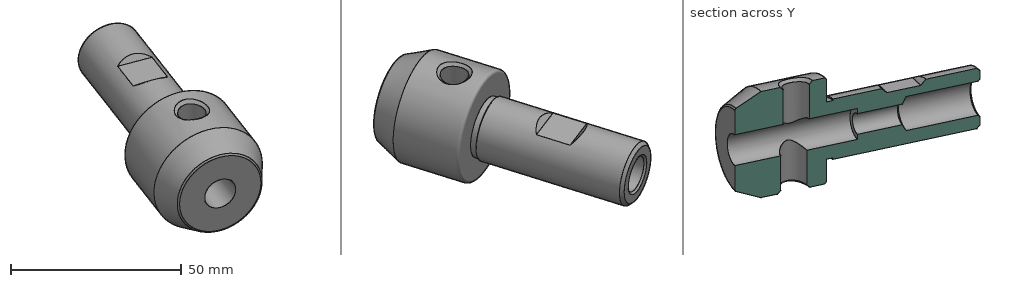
import cadquery as cq
import math

length = 80.0
shank_diameter = 20.0
shank_length = 48.0
neck_diameter = 19.0
head_start = 50.0
head_diameter = 35.0
nose_taper_start = 71.4
nose_taper_angle = 25.0
shank_chamfer = 1.0
head_edge_radius = 1.0
nose_edge_chamfer = 0.4

flat_center = 24.9
flat_length = 11.0
flat_depth = 1.7

shank_bore_diameter = 11.0
shank_bore_depth = 24.0
shank_bore_chamfer = 0.6
drill_point_angle = 118.0
through_diameter = 6.6
tool_bore_diameter = 10.0
tool_bore_depth = 40.0

screw_diameter = 8.4
screw_chamfer = 1.0
top_screw_x = 59.9
bottom_screw_x = 60.7


def turned_body():
    shank_radius = shank_diameter / 2
    neck_radius = neck_diameter / 2
    head_radius = head_diameter / 2
    taper_slope = math.tan(math.radians(nose_taper_angle))
    nose_radius = head_radius - (length - nose_taper_start) * taper_slope
    profile = (
        cq.Workplane("XZ")
        .lineTo(0, shank_radius - shank_chamfer)
        .lineTo(shank_chamfer, shank_radius)
        .lineTo(shank_length, shank_radius)
        .lineTo(shank_length, neck_radius)
        .lineTo(head_start, neck_radius)
        .lineTo(head_start, head_radius - head_edge_radius)
        .radiusArc((head_start + head_edge_radius, head_radius), head_edge_radius)
        .lineTo(nose_taper_start, head_radius)
        .lineTo(length - nose_edge_chamfer, nose_radius + nose_edge_chamfer * taper_slope)
        .lineTo(length, nose_radius - nose_edge_chamfer)
        .lineTo(length, 0)
        .close()
    )
    return profile.revolve(360, (0, 0, 0), (1, 0, 0))


def clamping_flat():
    top = shank_diameter / 2
    half = flat_length / 2
    return (
        cq.Workplane("XZ")
        .moveTo(flat_center - half, top - flat_depth)
        .lineTo(flat_center + half, top - flat_depth)
        .lineTo(flat_center + half + flat_depth, top)
        .lineTo(flat_center - half - flat_depth, top)
        .close()
        .extrude(top, both=True)
    )


def screw_hole(x, direction):
    return (
        cq.Workplane("XY")
        .center(x, 0)
        .circle(screw_diameter / 2)
        .extrude(direction * head_diameter)
    )


def axial_bores():
    bore_radius = shank_bore_diameter / 2
    through_radius = through_diameter / 2
    tool_radius = tool_bore_diameter / 2
    point_length = (bore_radius - through_radius) / math.tan(math.radians(drill_point_angle / 2))
    tool_bore_end = length - tool_bore_depth
    return (
        cq.Workplane("XZ")
        .lineTo(0, bore_radius + shank_bore_chamfer)
        .lineTo(shank_bore_chamfer, bore_radius)
        .lineTo(shank_bore_depth, bore_radius)
        .lineTo(shank_bore_depth + point_length, through_radius)
        .lineTo(tool_bore_end, through_radius)
        .lineTo(tool_bore_end, tool_radius)
        .lineTo(length, tool_radius)
        .lineTo(length, 0)
        .close()
        .revolve(360, (0, 0, 0), (1, 0, 0))
    )


result = turned_body().cut(clamping_flat())

selection_margin = 0.1
mouth_half_width = screw_diameter / 2 + selection_margin
mouth_inner_height = head_diameter / 4
for screw_x, side in ((top_screw_x, 1), (bottom_screw_x, -1)):
    result = result.cut(screw_hole(screw_x, side))
    mouth = cq.selectors.BoxSelector(
        (screw_x - mouth_half_width, -mouth_half_width, side * mouth_inner_height),
        (screw_x + mouth_half_width, mouth_half_width, side * head_diameter),
        boundingbox=True,
    )
    result = result.edges(mouth).edges("not |Z").chamfer(screw_chamfer)

result = result.cut(axial_bores())